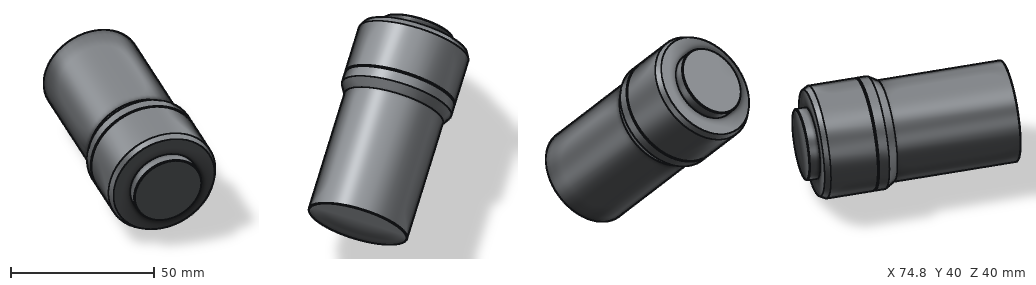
import cadquery as cq

total_length = 74.8
body_length = 44.4
cone_length = 3.4
groove_start = 51.45
groove_width = 0.6
spigot_length = 4.0

body_diameter = 36.0
head_diameter = 40.0
spigot_diameter = 25.3

groove_depth = 0.3
body_chamfer = 0.3
spigot_chamfer = 0.3
head_chamfer_length = 2.0
head_chamfer_depth = 1.1

body_radius = body_diameter / 2
head_radius = head_diameter / 2
spigot_radius = spigot_diameter / 2
groove_radius = head_radius - groove_depth
cone_end = body_length + cone_length
groove_middle = groove_start + groove_width / 2
groove_end = groove_start + groove_width
head_end = total_length - spigot_length

half_profile = [
    (0, 0),
    (0, body_radius - body_chamfer),
    (body_chamfer, body_radius),
    (body_length, body_radius),
    (cone_end, head_radius),
    (groove_start, head_radius),
    (groove_middle, groove_radius),
    (groove_end, head_radius),
    (head_end - head_chamfer_length, head_radius),
    (head_end, head_radius - head_chamfer_depth),
    (head_end, spigot_radius),
    (total_length - spigot_chamfer, spigot_radius),
    (total_length, spigot_radius - spigot_chamfer),
    (total_length, 0),
]

result = (
    cq.Workplane("XY")
    .polyline(half_profile)
    .close()
    .revolve(360, (0, 0, 0), (1, 0, 0))
)